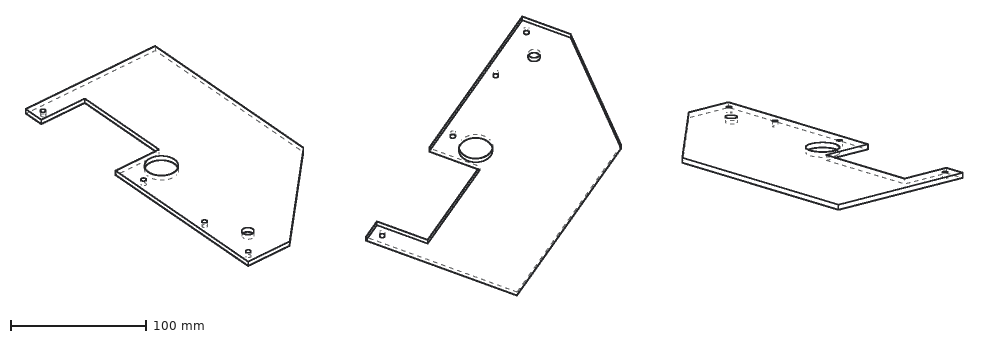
import cadquery as cq

length = 255.0
width = 125.0
thickness = 4.0
corner_cut = 85.0

notch_left = 18.0
notch_length = 85.0
notch_depth = 42.0

large_hole_diameter = 25.0
large_hole_center = (120.0, 30.0)
medium_hole_diameter = 9.0
medium_hole_center = (225.0, 25.0)
screw_hole_diameter = 4.0
screw_hole_inset = 8.5
screw_hole_x_positions = (10.0, 125.0, 195.0, 245.0)


def make_plate():
    """Flat plate with its front left bottom corner at the origin."""
    notch_right = notch_left + notch_length
    outline = [
        (0, 0),
        (notch_left, 0),
        (notch_left, notch_depth),
        (notch_right, notch_depth),
        (notch_right, 0),
        (length, 0),
        (length, width - corner_cut),
        (length - corner_cut, width),
        (0, width),
    ]
    return cq.Workplane("XY").polyline(outline).close().extrude(thickness)


def make_hole_cutters(centers, diameter):
    """Cylinders through the full plate thickness."""
    return cq.Workplane("XY").pushPoints(centers).circle(diameter / 2).extrude(thickness)


screw_hole_centers = [(x, screw_hole_inset) for x in screw_hole_x_positions]

result = make_plate()
result = result.cut(make_hole_cutters([large_hole_center], large_hole_diameter))
result = result.cut(make_hole_cutters([medium_hole_center], medium_hole_diameter))
result = result.cut(make_hole_cutters(screw_hole_centers, screw_hole_diameter))